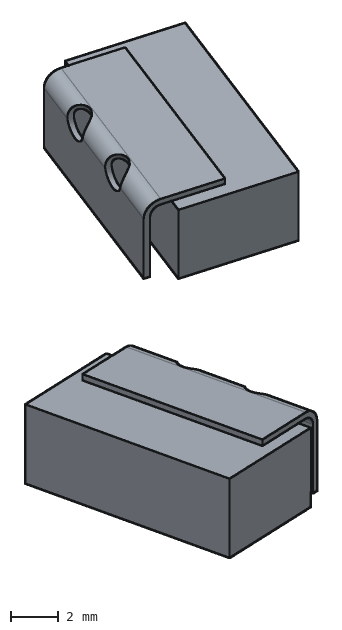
import cadquery as cq
import math

BLOCK_LENGTH = 10.8
TOTAL_DEPTH = 6.94
TOTAL_HEIGHT = 4.1

SHEET = 0.3
COVER_LENGTH = 9.5
FLANGE_OVERLAP = 2.51
FRONT_GAP = 1.0
INNER_RADIUS = 0.5
OUTER_RADIUS = INNER_RADIUS + SHEET
NEUTRAL_RADIUS = INNER_RADIUS + SHEET / 2

HOLE_RADIUS = 0.75
HOLE_SPACING = 3.6
HOLE_PAST_BEND_LINE = 0.22
HOLE_CURVE_POINTS = 32
HOLE_MARGIN = 0.05

BLOCK_DEPTH = TOTAL_DEPTH - FRONT_GAP - SHEET
BLOCK_HEIGHT = TOTAL_HEIGHT - SHEET
APRON_FRONT = -(FRONT_GAP + SHEET)
BEND_Y = APRON_FRONT + OUTER_RADIUS
BEND_Z = TOTAL_HEIGHT - OUTER_RADIUS


def make_block():
    return cq.Workplane("XY").box(BLOCK_LENGTH, BLOCK_DEPTH, BLOCK_HEIGHT, centered=(True, False, False))


def make_cover():
    diagonal = math.sqrt(0.5)
    profile = (
        cq.Workplane("YZ")
        .moveTo(FLANGE_OVERLAP, TOTAL_HEIGHT)
        .lineTo(BEND_Y, TOTAL_HEIGHT)
        .threePointArc(
            (BEND_Y - OUTER_RADIUS * diagonal, BEND_Z + OUTER_RADIUS * diagonal),
            (APRON_FRONT, BEND_Z),
        )
        .lineTo(APRON_FRONT, 0)
        .lineTo(APRON_FRONT + SHEET, 0)
        .lineTo(APRON_FRONT + SHEET, BEND_Z)
        .threePointArc(
            (BEND_Y - INNER_RADIUS * diagonal, BEND_Z + INNER_RADIUS * diagonal),
            (BEND_Y, BLOCK_HEIGHT),
        )
        .lineTo(FLANGE_OVERLAP, BLOCK_HEIGHT)
        .close()
    )
    return profile.extrude(COVER_LENGTH / 2, both=True)


def bent_point(x, along, radius):
    """Place a flat-sheet point on the layer of the given bend radius; along = 0 is the lower bend line."""
    if along <= 0:
        return cq.Vector(x, BEND_Y - radius, BEND_Z + along)
    angle = along / NEUTRAL_RADIUS
    return cq.Vector(x, BEND_Y - radius * math.cos(angle), BEND_Z + radius * math.sin(angle))


def bent_circle(center_x, radius):
    points = []
    for i in range(HOLE_CURVE_POINTS):
        turn = 2 * math.pi * i / HOLE_CURVE_POINTS
        x = center_x + HOLE_RADIUS * math.cos(turn)
        along = HOLE_PAST_BEND_LINE + HOLE_RADIUS * math.sin(turn)
        points.append(bent_point(x, along, radius))
    return cq.Edge.makeSpline(points, periodic=True)


def make_hole_cutter(center_x):
    """The hole wall stays square to the sheet; smooth caps close the cutter just clear of the sheet."""
    inner_rim = bent_circle(center_x, INNER_RADIUS - HOLE_MARGIN)
    outer_rim = bent_circle(center_x, OUTER_RADIUS + HOLE_MARGIN)
    wall = cq.Face.makeRuledSurface(inner_rim, outer_rim)
    inner_cap = cq.Face.makeNSidedSurface(
        [inner_rim], [bent_point(center_x, HOLE_PAST_BEND_LINE, INNER_RADIUS - HOLE_MARGIN)]
    )
    outer_cap = cq.Face.makeNSidedSurface(
        [outer_rim], [bent_point(center_x, HOLE_PAST_BEND_LINE, OUTER_RADIUS + HOLE_MARGIN)]
    )
    return cq.Workplane(obj=cq.Solid.makeSolid(cq.Shell.makeShell([wall, inner_cap, outer_cap])))


cover = make_cover()
for side in (-1, 1):
    cover = cover.cut(make_hole_cutter(side * HOLE_SPACING / 2))

result = make_block().union(cover)